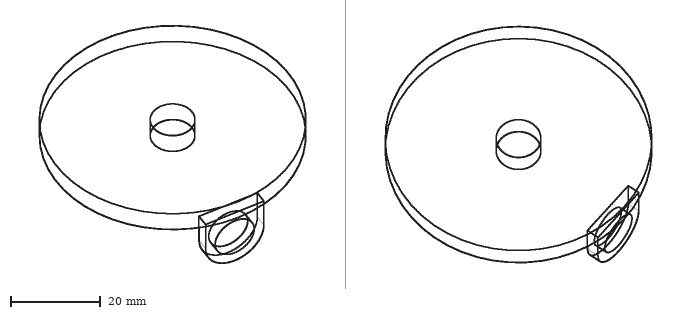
import cadquery as cq

plate_diameter = 59.45
plate_thickness = 5.0
hole_diameter = 10.0

overall_height = 20.0
lug_width = 15.0
lug_thickness = 3.0
lug_inner_x = 25.1

lug_radius = lug_width / 2
lug_drop = overall_height - plate_thickness
eye_depth = lug_drop - lug_radius


def make_plate():
    """Disc standing on Z = 0 with a through bore."""
    return (
        cq.Workplane("XY")
        .circle(plate_diameter / 2)
        .circle(hole_diameter / 2)
        .extrude(plate_thickness)
    )


def make_lug():
    """Round-ended tab with an eye concentric with its rounded end."""
    return (
        cq.Workplane("YZ", origin=(lug_inner_x, 0, 0))
        .moveTo(-lug_radius, 0)
        .lineTo(-lug_radius, -eye_depth)
        .threePointArc((0, -lug_drop), (lug_radius, -eye_depth))
        .lineTo(lug_radius, 0)
        .close()
        .moveTo(0, -eye_depth)
        .circle(hole_diameter / 2)
        .extrude(lug_thickness)
    )


result = make_plate().union(make_lug())